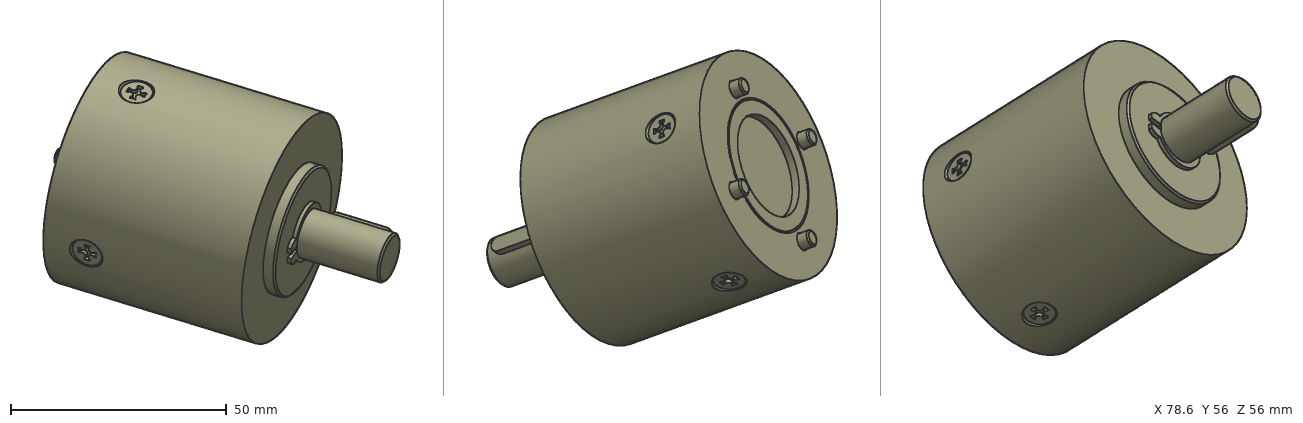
import cadquery as cq
import math

OVERALL_LENGTH = 78.6

BODY_DIAMETER = 56.0
BODY_LENGTH = 50.6
REAR_COVER_THICKNESS = 6.1
BOSS_DIAMETER = 32.0
BOSS_LENGTH = 3.0
BOSS_CHAMFER = 0.5

PIN_DIAMETER = 4.0
PIN_TIP_DIAMETER = 3.2
PIN_LENGTH = 3.0
PIN_HOLE_DIAMETER = 4.3
PIN_OFFSET = 13.75

SHAFT_DIAMETER = 12.0
SHAFT_CHAMFER = 0.5
SHAFT_GROOVE_DIAMETER = 11.5
SHAFT_END = OVERALL_LENGTH - PIN_LENGTH
BOSS_FACE = BODY_LENGTH + BOSS_LENGTH

RECESS_DIAMETER = 25.0
RECESS_DEPTH = 2.0
GROOVE_INNER_DIAMETER = 32.0
GROOVE_DEPTH = 0.5

KEY_WIDTH = 4.0
KEY_LENGTH = 16.0
KEY_TOP = 7.5
KEY_START = 57.1

RING_DIAMETER = 14.5
RING_SHIFT = 0.3
RING_THICKNESS = 1.0
LUG_GAP = 1.6
LUG_END = 8.95
LUG_TIP_WIDTH = 1.5
LUG_ROOT_WIDTH = 2.5
LUG_SHOULDER = 6.3
LUG_FILLET = 0.95

SCREW_X = 11.0
SCREW_COUNT = 4
SCREW_HEAD_DIAMETER = 7.5
SCREW_SINK = 0.5
CROSS_SPAN = 4.55
CROSS_WIDTH = 1.3
CROSS_POST_DIAMETER = 1.7
CROSS_POST_OFFSET = 1.25
CROSS_DEPTH = 1.0


def rod(diameter, start, length):
    """Cylinder on the part axis, running toward +X."""
    return cq.Workplane("YZ", origin=(start, 0, 0)).circle(diameter / 2).extrude(length)


def make_pin():
    chamfer = (PIN_DIAMETER - PIN_TIP_DIAMETER) / 2
    length = PIN_LENGTH + REAR_COVER_THICKNESS
    return rod(PIN_DIAMETER, -PIN_LENGTH, length).faces("<X").chamfer(chamfer)


def make_groove():
    """V groove: straight inner wall, 45 degree outer wall."""
    inner = GROOVE_INNER_DIAMETER / 2
    profile = [(0, inner), (0, inner + GROOVE_DEPTH), (GROOVE_DEPTH, inner)]
    return cq.Workplane("XY").polyline(profile).close().revolve(360, (0, 0, 0), (1, 0, 0))


def make_shaft():
    groove_end = BOSS_FACE + RING_THICKNESS
    shaft = rod(SHAFT_DIAMETER, groove_end, SHAFT_END - groove_end)
    shaft = shaft.faces(">X").chamfer(SHAFT_CHAMFER)
    return shaft.union(rod(SHAFT_GROOVE_DIAMETER, BOSS_FACE, RING_THICKNESS))


def make_key():
    return (
        cq.Workplane("XZ", origin=(KEY_START + KEY_LENGTH / 2, 0, 0))
        .slot2D(KEY_LENGTH, KEY_WIDTH)
        .extrude(-KEY_TOP)
    )


def make_lug(side):
    """One lug: rounded outer flank, blended into the ring by a hollow fillet."""
    inner = LUG_GAP / 2
    tip = inner + LUG_TIP_WIDTH
    root = inner + LUG_ROOT_WIDTH
    base = LUG_FILLET - LUG_SHOULDER
    diagonal = math.sqrt(0.5)
    middle = (
        -LUG_SHOULDER - diagonal * (LUG_END - LUG_SHOULDER),
        side * (tip + diagonal * (root - tip)),
    )
    fillet_middle = (
        -LUG_SHOULDER + diagonal * LUG_FILLET,
        side * (root + LUG_FILLET - diagonal * LUG_FILLET),
    )
    return (
        cq.Workplane("YZ", origin=(BOSS_FACE, 0, 0))
        .moveTo(base, side * inner)
        .lineTo(-LUG_END, side * inner)
        .lineTo(-LUG_END, side * tip)
        .threePointArc(middle, (-LUG_SHOULDER, side * root))
        .threePointArc(fillet_middle, (base, side * (root + LUG_FILLET)))
        .close()
        .extrude(RING_THICKNESS)
    )


def make_ring():
    ring = rod(RING_DIAMETER, BOSS_FACE, RING_THICKNESS).translate((0, RING_SHIFT, 0))
    gap = cq.Workplane("XY").box(RING_THICKNESS, RING_DIAMETER, LUG_GAP)
    gap = gap.translate((BOSS_FACE + RING_THICKNESS / 2, -RING_DIAMETER / 2, 0))
    return ring.cut(gap).union(make_lug(1)).union(make_lug(-1))


def make_screw_cut():
    """Countersink down to the flat head, plus the cross recess, at the +Z side."""
    head_z = BODY_DIAMETER / 2 - SCREW_SINK
    head_radius = SCREW_HEAD_DIAMETER / 2
    height = 2 * SCREW_SINK
    sink = (
        cq.Workplane("XY", origin=(SCREW_X, 0, head_z))
        .circle(head_radius)
        .workplane(offset=height)
        .circle(head_radius + height)
        .loft()
    )
    cross = cq.Workplane("XY").rect(CROSS_SPAN, CROSS_WIDTH).extrude(-CROSS_DEPTH)
    cross = cross.union(cq.Workplane("XY").rect(CROSS_WIDTH, CROSS_SPAN).extrude(-CROSS_DEPTH))
    posts = (
        cq.Workplane("XY")
        .rect(2 * CROSS_POST_OFFSET, 2 * CROSS_POST_OFFSET, forConstruction=True)
        .vertices()
        .circle(CROSS_POST_DIAMETER / 2)
        .extrude(-CROSS_DEPTH)
    )
    cross = cross.cut(posts)
    return sink.union(cross.translate((SCREW_X, 0, head_z)))


body = rod(BODY_DIAMETER, 0, BODY_LENGTH)
body = body.union(rod(BOSS_DIAMETER, BODY_LENGTH, BOSS_LENGTH).faces(">X").chamfer(BOSS_CHAMFER))
result = body.union(make_shaft()).union(make_ring()).union(make_key())
result = result.cut(rod(RECESS_DIAMETER, 0, RECESS_DEPTH)).cut(make_groove())

pin = make_pin()
pin_hole = rod(PIN_HOLE_DIAMETER, 0, REAR_COVER_THICKNESS)
for y in (-PIN_OFFSET, PIN_OFFSET):
    for z in (-PIN_OFFSET, PIN_OFFSET):
        result = result.cut(pin_hole.translate((0, y, z)))
        result = result.union(pin.translate((0, y, z)))

screw_cut = make_screw_cut()
for index in range(SCREW_COUNT):
    angle = index * 360 / SCREW_COUNT
    result = result.cut(screw_cut.rotate((0, 0, 0), (1, 0, 0), angle))